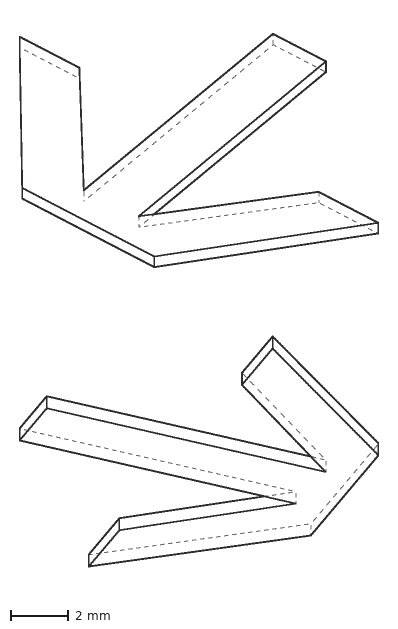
import cadquery as cq

width = 15.97
length = 11.87
thickness = 0.5

base_left = 5.08
base_right = 10.95
arm_height = 6.26
arm_tip_width = 2.67

stem_left = 6.84
stem_right = 9.2

left_notch_height = 1.25
right_notch_height = 1.34

outline = [
    (base_left, 0),
    (base_right, 0),
    (width, arm_height),
    (width - arm_tip_width, arm_height),
    (stem_right, right_notch_height),
    (stem_right, length),
    (stem_left, length),
    (stem_left, left_notch_height),
    (arm_tip_width, arm_height),
    (0, arm_height),
]

result = cq.Workplane("XY").polyline(outline).close().extrude(thickness)